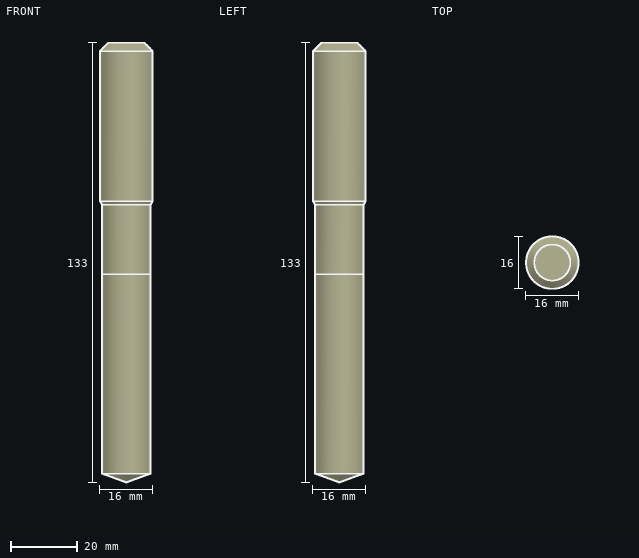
import cadquery as cq
import math

total_length = 133.0
shank_diameter = 16.0
cutting_diameter = 14.8
point_angle = 140.0
cutting_length = 63.0
shank_start = 83.9
top_chamfer = 2.5
step_chamfer_height = 1.2

shank_radius = shank_diameter / 2
cutting_radius = cutting_diameter / 2
point_height = cutting_radius / math.tan(math.radians(point_angle / 2))


def revolve_about_axis(profile):
    """Turn a closed (radius, height) outline into a solid around Z."""
    return cq.Workplane("XZ").polyline(profile).close().revolve(360, (0, 0), (0, 1))


def make_cutting_part():
    """Cylindrical cutting part with a conical point."""
    return revolve_about_axis([
        (0, 0),
        (cutting_radius, point_height),
        (cutting_radius, cutting_length),
        (0, cutting_length),
    ])


def make_shank():
    """Neck and thicker shank, tapered at the step and chamfered on top."""
    return revolve_about_axis([
        (0, cutting_length),
        (cutting_radius, cutting_length),
        (cutting_radius, shank_start),
        (shank_radius, shank_start + step_chamfer_height),
        (shank_radius, total_length - top_chamfer),
        (shank_radius - top_chamfer, total_length),
        (0, total_length),
    ])


cutting_part = make_cutting_part()
shank = make_shank()

result = cq.Compound.makeCompound([cutting_part.val(), shank.val()])